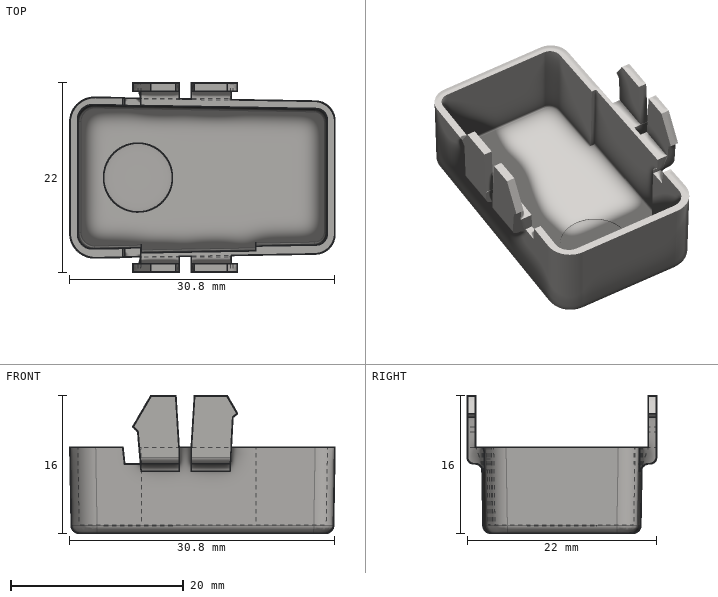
import cadquery as cq
import math

length = 30.8
mid_width = 18.23
cup_height = 10.0
total_height = 16.0
clip_span = 22.0

plan_taper = 1.0
wall_draft = 1.0

left_corner_radius = 2.93
right_corner_radius = 2.37
bottom_edge_radius = 1.0

end_wall = 0.9
back_wall = 0.85
front_wall = 1.05
floor = 1.0
floor_edge_radius = 0.22
inner_left_corner_radius = 1.8
inner_right_corner_radius = 1.35

recess_left = -7.18
recess_right = 6.22
recess_depth = 0.55
lip_thickness = 0.05
lip_top = 8.65

mark_x = -7.48
mark_radius = 4.0
mark_depth = 0.1

notch_left_top = -9.25
notch_left_bottom = -9.02
notch_right = recess_left
notch_floor = 8.07

plate = 1.0
clip_outer_y = clip_span / 2
clip_inner_y = clip_outer_y - plate
clip_bottom = 7.2
plate_bottom = notch_floor
plate_round = 0.8
root_round = plate_bottom - clip_bottom
root_y = 9.2
root_depth = 0.25
web_foot = 7.7

gap_x = -2.0
gap_half_width = 0.68
gap_half_width_rim = 0.7
gap_half_width_top = 1.08

taper = math.tan(math.radians(plan_taper))
draft = math.tan(math.radians(wall_draft))


def plan_corners(z, end_inset, front_inset, back_inset):
    """Corners at height z of the tapered plan, moved inward from the outer walls."""
    drafted = (cup_height - z) * draft
    left = -length / 2 + end_inset + drafted
    right = -left

    def half_width(x):
        return mid_width / 2 - x * taper - drafted

    return [
        (left, front_inset - half_width(left)),
        (right, front_inset - half_width(right)),
        (right, half_width(right) - back_inset),
        (left, half_width(left) - back_inset),
    ]


def drafted_block(bottom, end_inset, front_inset, back_inset):
    """Tapered block between the given bottom and the rim."""
    block = cq.Workplane("XY").workplane(offset=bottom)
    block = block.polyline(plan_corners(bottom, end_inset, front_inset, back_inset)).close()
    block = block.workplane(offset=cup_height - bottom)
    block = block.polyline(plan_corners(cup_height, end_inset, front_inset, back_inset)).close()
    return block.loft(ruled=True)


def round_corners(block, left_radius, right_radius):
    block = block.edges("not #Z").edges("<X").fillet(left_radius)
    return block.edges("not #Z").edges(">X").fillet(right_radius)


def tray():
    outside = round_corners(drafted_block(0, 0, 0, 0), left_corner_radius, right_corner_radius)
    return outside.faces("<Z").edges().fillet(bottom_edge_radius)


def hollow(front_inset):
    """Inside of the tray, for a -Y wall of the given thickness."""
    inside = drafted_block(floor, end_wall, front_inset, back_wall)
    inside = round_corners(inside, inner_left_corner_radius, inner_right_corner_radius)
    return inside.faces("<Z").edges().fillet(floor_edge_radius)


def slab(left, right, top):
    """Block between two X positions, reaching from the centre plane past the -Y wall and up to top."""
    return cq.Workplane("XY").box(right - left, length, top, centered=False).translate((left, -length, 0))


def cavity():
    """Inside of the tray with the -Y wall thinned, apart from a low lip at the recess's left end."""
    recess = hollow(front_wall - recess_depth).intersect(slab(recess_left, recess_right, cup_height))
    recess = recess.cut(slab(recess_left, recess_left + lip_thickness, lip_top))
    return hollow(front_wall).union(recess)


def floor_mark():
    disc = cq.Workplane("XY").workplane(offset=floor - mark_depth)
    return disc.center(mark_x, 0).circle(mark_radius).extrude(mark_depth)


def notches():
    outline = [
        (notch_left_bottom, notch_floor),
        (notch_right, notch_floor),
        (notch_right, cup_height),
        (notch_left_top, cup_height),
    ]
    return cq.Workplane("XZ").polyline(outline).close().extrude(length / 2, both=True)


def finger_outlines():
    """Both fingers of a clip as seen along Y, extruded across the whole part."""
    left_finger = [
        (-7.1, clip_bottom),
        (gap_x - gap_half_width, clip_bottom),
        (gap_x - gap_half_width, cup_height),
        (gap_x - gap_half_width_rim, cup_height),
        (gap_x - gap_half_width_top, total_height),
        (-5.98, total_height),
        (-8.07, 12.38),
        (-7.5, 11.83),
    ]
    right_finger = [
        (3.2, clip_bottom),
        (gap_x + gap_half_width, clip_bottom),
        (gap_x + gap_half_width, cup_height),
        (gap_x + gap_half_width_rim, cup_height),
        (gap_x + gap_half_width_top, total_height),
        (2.85, total_height),
        (4.07, 13.92),
        (3.55, 13.5),
    ]
    fingers = cq.Workplane("XZ").polyline(left_finger).close().polyline(right_finger).close()
    return fingers.extrude(length / 2, both=True)


def clip():
    """Clip on the +Y wall: upright plates, curved roots and the web that fills the corner above them."""
    buried_y = root_y - root_depth
    plates = (
        cq.Workplane("YZ")
        .moveTo(clip_inner_y, total_height)
        .lineTo(clip_outer_y, total_height)
        .lineTo(clip_outer_y, plate_bottom + plate_round)
        .radiusArc((clip_outer_y - plate_round, plate_bottom), plate_round)
        .lineTo(root_y + root_round, plate_bottom)
        .radiusArc((root_y, clip_bottom), -root_round)
        .lineTo(buried_y, clip_bottom)
        .lineTo(buried_y, web_foot)
        .lineTo(root_y, web_foot)
        .lineTo(clip_inner_y, cup_height)
        .close()
        .extrude(length / 2, both=True)
    )
    web_corners = [(buried_y, web_foot), (root_y, web_foot), (clip_inner_y, cup_height), (buried_y, cup_height)]
    web = cq.Workplane("YZ").workplane(offset=notch_right).polyline(web_corners).close().extrude(length)
    return plates.union(web).intersect(finger_outlines())


back_clip = clip()
body = tray().cut(cavity()).cut(floor_mark()).cut(notches())
result = body.union(back_clip).union(back_clip.mirror("XZ"))